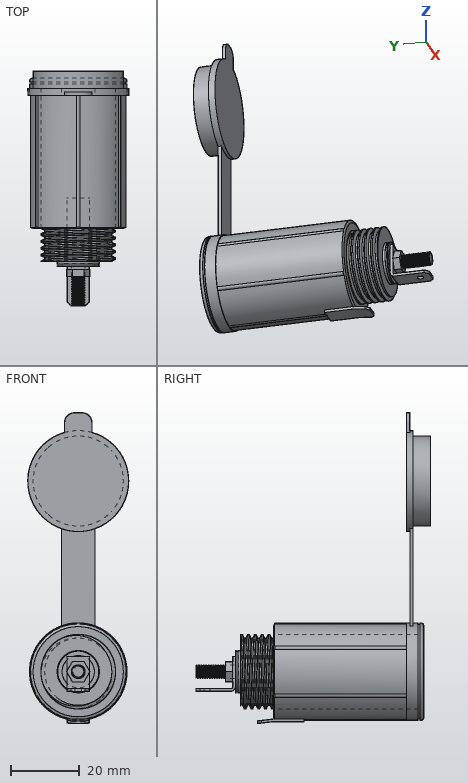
import cadquery as cq
import math


ring_length = 3.4
gap_width = 0.5
bezel_length = 1.2
bezel_front = ring_length + gap_width + bezel_length
sleeve_length = 38.8
thread_length = 9.6
thread_end = -(sleeve_length + thread_length)
boss_length = 1.45
boss_end = thread_end - boss_length
terminal_reach = 61.4

ring_radius = 14.2
sleeve_radius = 14.0
gap_radius = 13.9
boss_radius = 6.2
bezel_round = 0.9

boss_groove_depth = 0.2
boss_groove_width = 0.5
boss_lip = 0.2

rib_count = 6
rib_radius = 0.7
rib_top_radius = 14.2
rim_axial = 0.4
rim_radial = 0.8

socket_crest_radius = 10.9
socket_root_radius = 9.8
socket_pitch = 2.0
socket_crest_width = 0.45
socket_base_width = 1.5
socket_thread_angle = -135
stud_crest_radius = 2.0
stud_root_radius = 1.6
stud_pitch = 0.7
stud_crest_width = 0.1
stud_base_width = 0.59
stud_thread_angle = 90

cap_radius = 29.5 / 2
cap_height = 55.6
cap_thickness = 2.0
plug_radius = 13.2
plug_end = 7.1
strap_width = 9.9
strap_thickness = 1.0
pull_thickness = strap_thickness
pull_width = 8.1
pull_top = 75.6
pull_corner_radius = 3.0

terminal_width = 6.4
terminal_thickness = 0.8
blade_top = 4.45
blade_bottom = -5.7
bend_radius = 0.45
terminal_chamfer = 1.2
blade_hole_radius = 0.9
blade_hole_inset = 3.3
tab_start = -29.85
tab_end = -43.5
tab_top = -13.8
tab_drop = 0.5

nut_length = 2.1
nut_flats = 5.9
stud_base_radius = 4.7
stud_base_depth = 0.9
nut_seat = boss_end - terminal_thickness
nut_end = nut_seat - nut_length


def cylinder(radius, y_start, y_end):
    """Solid cylinder on the main axis between two Y positions."""
    return cq.Workplane("XZ", origin=(0, y_start, 0)).circle(radius).extrude(y_start - y_end)


def threaded_rod(crest, root, pitch, crest_width, base_width, y_start, y_end, start_angle):
    """Rod with a right-handed helical ridge, running from y_start toward -Y and cut square at both ends."""
    sink = 0.1
    run_in = pitch
    run_out = 3 * pitch
    turns = math.ceil((y_start - y_end) / pitch) + 2
    profile = (
        cq.Workplane("XZ")
        .polyline([
            (root - sink, -base_width / 2),
            (crest, -crest_width / 2),
            (crest, crest_width / 2),
            (root - sink, base_width / 2),
        ])
        .close()
    )
    path = cq.Wire.makeHelix(pitch, turns * pitch, root)
    ridge = (
        profile.sweep(cq.Workplane(obj=path), isFrenet=True)
        .rotate((0, 0, 0), (0, 0, 1), start_angle)
        .rotate((0, 0, 0), (1, 0, 0), 90)
        .translate((0, y_start + run_in, 0))
    )
    core = cylinder(root, y_start + 2 * run_in, y_end - run_out)
    return core.union(ridge).intersect(cylinder(2 * crest, y_start, y_end))


def make_socket():
    """Plug socket: front bezel, plain barrel through the sleeve, threaded tail and rear boss."""
    bezel = cylinder(ring_radius, bezel_front, bezel_front - bezel_length)
    bezel = bezel.faces(">Y").edges().fillet(bezel_round)
    gap_neck = cylinder(gap_radius, ring_length + gap_width, ring_length)
    barrel = cylinder(socket_crest_radius, ring_length, -sleeve_length)
    tail = threaded_rod(
        socket_crest_radius, socket_root_radius, socket_pitch,
        socket_crest_width, socket_base_width, -sleeve_length, thread_end, socket_thread_angle,
    )
    boss = cylinder(boss_radius, thread_end, boss_end)
    groove_end = boss_end + boss_lip
    groove = cylinder(boss_radius, groove_end + boss_groove_width, groove_end).cut(
        cylinder(boss_radius - boss_groove_depth, groove_end + boss_groove_width, groove_end)
    )
    stud_seat = cylinder(stud_base_radius, boss_end + stud_base_depth, boss_end)
    socket = bezel.union(gap_neck).union(barrel).union(tail)
    return socket.union(boss).cut(groove).cut(stud_seat)


def make_sleeve(tab):
    """Clamping sleeve with ribs, a chamfered rear rim and a recess for the ground tab."""
    body = cylinder(sleeve_radius, 0, -sleeve_length)
    for index in range(rib_count):
        angle = math.radians(90 + index * 360 / rib_count)
        rib_centre = rib_top_radius - rib_radius
        rib = (
            cq.Workplane("XZ")
            .center(rib_centre * math.cos(angle), rib_centre * math.sin(angle))
            .circle(rib_radius)
            .extrude(sleeve_length)
        )
        body = body.union(rib)
    rim = (
        cq.Workplane("XY")
        .polyline([
            (sleeve_radius - rim_radial, -sleeve_length),
            (sleeve_radius + rim_radial, -sleeve_length),
            (sleeve_radius + rim_radial, -sleeve_length + 2 * rim_axial),
        ])
        .close()
        .revolve(360, (0, 0, 0), (0, 1, 0))
    )
    return body.cut(rim).cut(cylinder(socket_crest_radius, 0, -sleeve_length)).cut(tab)


def make_cap():
    """Dust cap with its plug and pull tab, joined by a strap to the ring around the socket."""
    disc = cylinder(cap_radius, cap_thickness, 0).translate((0, 0, cap_height))
    plug = cylinder(plug_radius, plug_end, cap_thickness).translate((0, 0, cap_height))
    pull = (
        cq.Workplane("XY")
        .box(pull_width, pull_thickness, pull_top - cap_height, centered=(True, False, False))
        .translate((0, 0, cap_height))
        .edges("|Y and >Z")
        .fillet(pull_corner_radius)
    )
    strap = (
        cq.Workplane("XY", origin=(0, cap_thickness - strap_thickness, 0))
        .box(strap_width, strap_thickness, cap_height, centered=(True, False, False))
    )
    ring = cylinder(ring_radius, ring_length, 0)
    cap = disc.union(plug).union(pull).union(strap).union(ring)
    return cap.cut(cylinder(socket_crest_radius, ring_length, 0))


def make_blade():
    """L-shaped terminal clamped by the nut, with a drilled tongue."""
    back = boss_end
    front = nut_seat
    leg_top = blade_bottom + terminal_thickness
    blade = (
        cq.Workplane("YZ", origin=(-terminal_width / 2, 0, 0))
        .polyline([
            (back, blade_top),
            (back, blade_bottom),
            (-terminal_reach, blade_bottom),
            (-terminal_reach, leg_top),
            (front, leg_top),
            (front, blade_top),
        ])
        .close()
        .extrude(terminal_width)
    )
    outer_corner = cq.selectors.NearestToPointSelector((0, back, blade_bottom))
    blade = blade.edges(outer_corner).fillet(bend_radius + terminal_thickness)
    inner_corner = cq.selectors.NearestToPointSelector((0, front, leg_top))
    blade = blade.edges(inner_corner).fillet(bend_radius)
    blade = blade.edges("|Z and <Y").chamfer(terminal_chamfer)
    hole = (
        cq.Workplane("XY", origin=(0, -terminal_reach + blade_hole_inset, blade_bottom))
        .circle(blade_hole_radius)
        .extrude(terminal_thickness)
    )
    return blade.cut(hole).cut(cylinder(stud_crest_radius, back, front))


def make_nut():
    """Hexagon nut with flats at top and bottom."""
    corner_diameter = nut_flats / math.cos(math.pi / 6)
    nut = cq.Workplane("XZ", origin=(0, nut_seat, 0)).polygon(6, corner_diameter).extrude(nut_length)
    return nut.cut(cylinder(stud_crest_radius, nut_seat, nut_end))


def make_stud():
    """Threaded stud with a round base set flush in the boss and a plain shank under the nut."""
    base = cylinder(stud_base_radius, boss_end + stud_base_depth, boss_end)
    shank = cylinder(stud_crest_radius, boss_end, nut_end)
    thread = threaded_rod(
        stud_crest_radius, stud_root_radius, stud_pitch,
        stud_crest_width, stud_base_width, nut_end, -terminal_reach, stud_thread_angle,
    )
    return base.union(shank).union(thread)


def make_tab():
    """Ground tab lying along the bottom of the sleeve, bent slightly downward past its end."""
    outline = [
        (tab_start, tab_top),
        (-sleeve_length, tab_top),
        (tab_end, tab_top - tab_drop),
        (tab_end, tab_top - tab_drop - terminal_thickness),
        (-sleeve_length, tab_top - terminal_thickness),
        (tab_start, tab_top - terminal_thickness),
    ]
    side = cq.Workplane("YZ", origin=(-terminal_width / 2, 0, 0)).polyline(outline).close()
    tab = side.extrude(terminal_width)
    return tab.edges("|Z and <Y").chamfer(terminal_chamfer)


tab = make_tab()
sleeve = make_sleeve(tab)
socket = make_socket()
cap = make_cap()
blade = make_blade()
nut = make_nut()
stud = make_stud()

bodies = [sleeve, socket, cap, blade, nut, stud, tab]
result = cq.Compound.makeCompound([body.solids().val() for body in bodies])